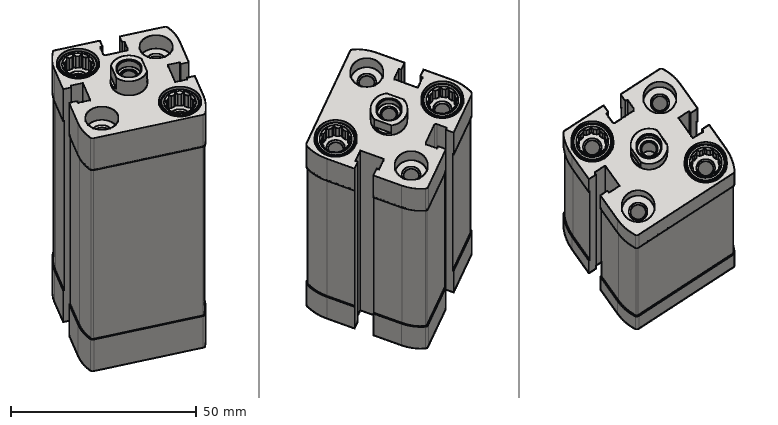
import cadquery as cq
import math


side = 35.5
half_side = side / 2
housing_height = 88.0
base_cap_height = 11.9
top_cap_height = 12.1
barrel_inset = 0.33
crown_start = 10.9
crown_radius = 14.0
corner_fillet = 0.9

slot_mouth = 5.5
slot_width = 6.9
slot_depth = 5.8
slot_lip = 2.3
side_slot_fillet = 0.6

hole_offset = 11.0
hole_diameter = 4.1
hole_countersink = 5.0
counterbore_diameter = 9.0
counterbore_depth = 5.0

recess_diameter = 11.5
head_diameter = 10.5
head_top_diameter = 10.0
head_drop = 0.3
gap_depth = 2.0
socket_mouth = 8.7
socket_diameter = 7.5
socket_depth = 5.0
spline_tip_diameter = 8.4
spline_count = 12

rod_top = 93.3
rod_diameter = 10.0
rod_bottom = housing_height - top_cap_height
flat_width = 8.7
flat_length = 4.2
flat_floor_drop = 0.3
rod_mouth = 7.0
rod_counterbore = 6.4
rod_counterbore_depth = 2.5
thread_countersink = 4.7
thread_diameter = 4.0
thread_depth = 11.2
drill_point_angle = 118.0


def countersink(mouth, bore, top):
    """45 degree cone that opens a bore to a wider mouth at height top."""
    depth = (mouth - bore) / 2
    return cq.Workplane("XY").add(cq.Solid.makeCone(bore / 2, mouth / 2, depth)).translate((0, 0, top - depth))


def cylinder(diameter, bottom, top):
    return cq.Workplane("XY").workplane(offset=bottom).circle(diameter / 2).extrude(top - bottom)


def crowned_block(inset, bottom, top):
    """Square block whose +Y and -Y faces curve away towards their ends."""
    half = half_side - inset
    radius = crown_radius - inset
    arc_centre = half - radius

    def crown_y(distance):
        return arc_centre + math.sqrt(radius ** 2 - distance ** 2)

    reach = half - crown_start
    end_y = crown_y(reach)
    mid_x = crown_start + reach / 2
    mid_y = crown_y(reach / 2)
    return (
        cq.Workplane("XY").workplane(offset=bottom)
        .moveTo(-crown_start, half)
        .lineTo(crown_start, half)
        .threePointArc((mid_x, mid_y), (half, end_y))
        .lineTo(half, -end_y)
        .threePointArc((mid_x, -mid_y), (crown_start, -half))
        .lineTo(-crown_start, -half)
        .threePointArc((-mid_x, -mid_y), (-half, -end_y))
        .lineTo(-half, end_y)
        .threePointArc((-mid_x, mid_y), (-crown_start, half))
        .close()
        .extrude(top - bottom)
        .edges("|Z and (>X or <X)")
        .fillet(corner_fillet - inset)
    )


def t_slot(turn, floor_fillet=0.0):
    """Full-height T-slot cutter for the +Y face, turned about Z to the wanted face."""
    mouth = cq.Workplane("XY").rect(slot_mouth, 2 * slot_lip).extrude(housing_height)
    chamber = (
        cq.Workplane("XY").center(0, -(slot_lip + slot_depth) / 2)
        .rect(slot_width, slot_depth - slot_lip).extrude(housing_height)
    )
    if floor_fillet:
        chamber = chamber.edges("|Z and <Y").fillet(floor_fillet)
    return mouth.union(chamber).translate((0, half_side, 0)).rotate((0, 0, 0), (0, 0, 1), turn)


def mounting_hole():
    """Counterbored hole through the whole housing."""
    floor = housing_height - counterbore_depth
    return (
        cylinder(hole_diameter, 0, housing_height)
        .union(countersink(hole_countersink, hole_diameter, floor))
        .union(cylinder(counterbore_diameter, floor, housing_height))
    )


def spline_socket(bottom, top):
    """Round socket with V-shaped splines spread evenly around it."""
    socket = cylinder(socket_diameter, bottom, top)
    tip = spline_tip_diameter / 2
    for index in range(spline_count):
        spline = (
            cq.Workplane("XY").workplane(offset=bottom)
            .polyline([(0, 0), (tip / 2, -tip / 2), (tip, 0), (tip / 2, tip / 2)]).close()
            .extrude(top - bottom)
            .rotate((0, 0, 0), (0, 0, 1), index * 360 / spline_count)
        )
        socket = socket.union(spline)
    return socket.union(countersink(socket_mouth, socket_diameter, top))


def screw_cutter():
    """Space around and inside a flush screw head, with the hole through it."""
    head_top = housing_height - head_drop
    gap_floor = housing_height - gap_depth
    socket_floor = head_top - socket_depth
    chamfer = (head_diameter - head_top_diameter) / 2
    head = cylinder(head_diameter, gap_floor, head_top).faces(">Z").chamfer(chamfer)
    return (
        cylinder(recess_diameter, gap_floor, housing_height).cut(head)
        .union(spline_socket(socket_floor, head_top))
        .union(countersink(hole_countersink, hole_diameter, socket_floor))
        .union(cylinder(hole_diameter, 0, socket_floor))
    )


def make_housing():
    top_cap_bottom = housing_height - top_cap_height
    housing = crowned_block(0, 0, base_cap_height)
    housing = housing.union(crowned_block(barrel_inset, base_cap_height, top_cap_bottom))
    housing = housing.union(crowned_block(0, top_cap_bottom, housing_height))

    for slot in (t_slot(0), t_slot(180), t_slot(90, side_slot_fillet)):
        housing = housing.cut(slot)
    for sign in (-1, 1):
        housing = housing.cut(mounting_hole().translate((sign * hole_offset, -sign * hole_offset, 0)))
        housing = housing.cut(screw_cutter().translate((sign * hole_offset, sign * hole_offset, 0)))
    return housing.cut(cylinder(rod_diameter, rod_bottom, housing_height))


def make_rod():
    rod = cylinder(rod_diameter, rod_bottom, rod_top)

    flat_y = flat_width / 2
    rod_radius = rod_diameter / 2
    flat_end = rod_top - flat_length
    flat = (
        cq.Workplane("YZ")
        .polyline([
            (flat_y, rod_top),
            (flat_y, flat_end),
            (rod_radius, flat_end - flat_floor_drop),
            (rod_radius, rod_top),
        ]).close()
        .extrude(rod_radius, both=True)
    )
    rod = rod.cut(flat).cut(flat.mirror("XZ"))

    step = rod_top - rod_counterbore_depth
    hole_end = rod_top - thread_depth
    point_length = thread_diameter / 2 / math.tan(math.radians(drill_point_angle / 2))
    point = cq.Workplane("XY").add(cq.Solid.makeCone(0, thread_diameter / 2, point_length))
    rod = rod.cut(countersink(rod_mouth, rod_counterbore, rod_top))
    rod = rod.cut(cylinder(rod_counterbore, step, rod_top))
    rod = rod.cut(countersink(thread_countersink, thread_diameter, step))
    rod = rod.cut(cylinder(thread_diameter, hole_end, step))
    return rod.cut(point.translate((0, 0, hole_end - point_length)))


housing = make_housing()
piston_rod = make_rod()
result = cq.Compound.makeCompound([housing.val(), piston_rod.val()])